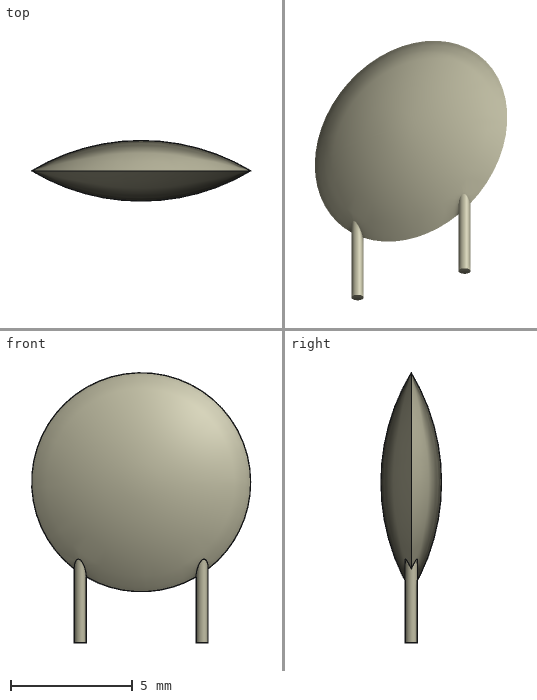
import cadquery as cq

total_height = 11.09
disc_diameter = 8.99
disc_thickness = 2.5

lead_diameter = 0.5
lead_spacing = 5.0
lead_top_depth = 2.77

disc_radius = disc_diameter / 2
half_thickness = disc_thickness / 2
lead_bottom = disc_radius - total_height
lead_length = -lead_top_depth - lead_bottom


def make_disc():
    """Two equal spherical caps meeting at a sharp rim, revolved about the Y axis."""
    cap_radius = (disc_radius**2 + half_thickness**2) / (2 * half_thickness)
    return (
        cq.Workplane("XY")
        .moveTo(0, -half_thickness)
        .radiusArc((disc_radius, 0), -cap_radius)
        .radiusArc((0, half_thickness), -cap_radius)
        .close()
        .revolve(360, (0, 0, 0), (0, 1, 0))
    )


def make_leads():
    """Vertical pins placed symmetrically about the disc centre."""
    base_plane = cq.Plane(origin=(0, 0, lead_bottom), xDir=(0, 1, 0), normal=(0, 0, 1))
    return (
        cq.Workplane(base_plane)
        .pushPoints([(0, -lead_spacing / 2), (0, lead_spacing / 2)])
        .circle(lead_diameter / 2)
        .extrude(lead_length)
    )


result = make_disc().union(make_leads())